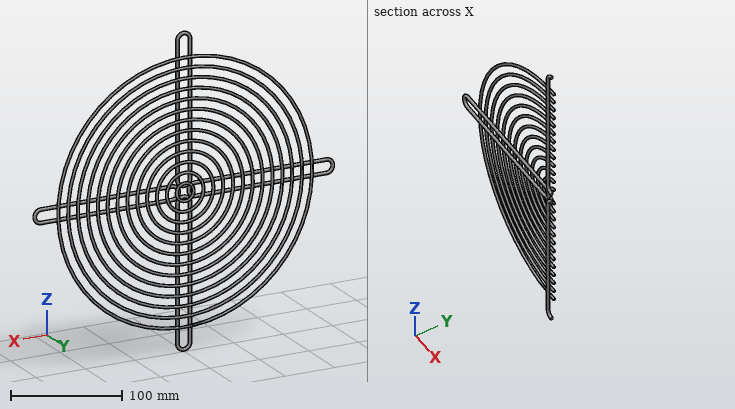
import cadquery as cq

span = 305.0
depth = 5.8

ring_wire = 2.7
ring_count = 13
inner_ring_radius = 8.5
outer_ring_radius = 128.5
ring_pitch = (outer_ring_radius - inner_ring_radius) / (ring_count - 1)

loop_wire = 3.5
bend_radius = 6.5
inner_bend_center = 11.5
outer_bend_center = span / 2 - loop_wire / 2 - bend_radius
loop_count = 4

loop_y = -depth / 2 + loop_wire / 2
ring_y = depth / 2 - ring_wire / 2


def make_ring(radius):
    """Round-wire ring around the Y axis."""
    center = cq.Vector(0, ring_y, 0)
    axis = cq.Vector(0, 1, 0)
    return cq.Solid.makeTorus(radius, ring_wire / 2, center, axis)


def make_loop():
    """Closed loop along +Z: two straight wires joined by half-circle bends."""
    path = (
        cq.Workplane("XZ", origin=(0, loop_y, 0))
        .moveTo(bend_radius, inner_bend_center)
        .lineTo(bend_radius, outer_bend_center)
        .threePointArc((0, outer_bend_center + bend_radius), (-bend_radius, outer_bend_center))
        .lineTo(-bend_radius, inner_bend_center)
        .threePointArc((0, inner_bend_center - bend_radius), (bend_radius, inner_bend_center))
        .close()
    )
    section = cq.Workplane("XY", origin=(bend_radius, loop_y, inner_bend_center)).circle(loop_wire / 2)
    return section.sweep(path)


loop = make_loop()
loops = [
    loop.rotate((0, 0, 0), (0, 1, 0), 360 / loop_count * index).val()
    for index in range(loop_count)
]
rings = [
    make_ring(inner_ring_radius + ring_pitch * index)
    for index in range(ring_count)
]

welded = loops[0].fuse(*loops[1:], *rings)
result = cq.Workplane(obj=welded.Solids()[0])